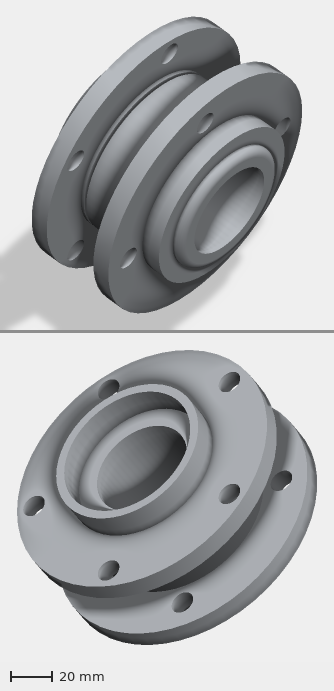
import cadquery as cq

hub_length = 15.0
flange_thickness = 10.0
collar_length = 2.0
groove_width = 1.7
rear_flange_start = 56.0
body_end = 77.0
total_length = 82.0

flange_diameter = 139.0
body_diameter = 90.1
groove_diameter = 84.0
hub_diameter = 79.0
socket_diameter = 70.0
spigot_diameter = 70.0
bore_diameter = 50.0

socket_depth = 15.0
spigot_round = 4.0

bolt_hole_diameter = 12.0
front_bolt_circle = 120.1
front_bolt_count = 5
rear_bolt_circle = 110.1
rear_bolt_count = 4


def disc(start, length, diameter):
    """Solid cylinder on the X axis."""
    return cq.Workplane("YZ", origin=(start, 0, 0)).circle(diameter / 2).extrude(length)


def drilled_flange(start, bolt_circle, bolt_count):
    """Flange with equally spaced holes, the first one on the +Y side."""
    holes = (
        cq.Workplane("YZ", origin=(start, 0, 0))
        .polarArray(bolt_circle / 2, 0, 360, bolt_count)
        .circle(bolt_hole_diameter / 2)
        .extrude(flange_thickness)
    )
    return disc(start, flange_thickness, flange_diameter).cut(holes)


groove_start = hub_length + flange_thickness + collar_length
groove_end = groove_start + groove_width
hub = disc(0, hub_length, hub_diameter)
collar = disc(hub_length, groove_start - hub_length, body_diameter)
groove_core = disc(groove_start, groove_width, groove_diameter)
body = disc(groove_end, body_end - groove_end, body_diameter)

spigot = disc(body_end, total_length - body_end, spigot_diameter).faces(">X").edges().fillet(spigot_round)

front_flange = drilled_flange(hub_length, front_bolt_circle, front_bolt_count)
rear_flange = drilled_flange(rear_flange_start, rear_bolt_circle, rear_bolt_count)

result = hub.union(collar).union(groove_core).union(body).union(spigot)
result = result.union(front_flange).union(rear_flange)

result = result.cut(disc(0, socket_depth, socket_diameter))
result = result.cut(disc(0, total_length, bore_diameter))